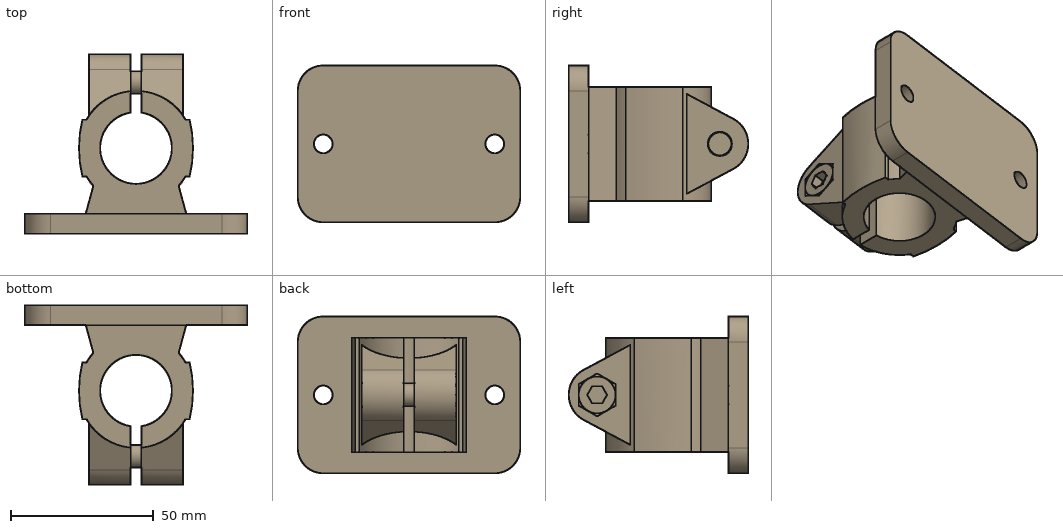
import cadquery as cq
import math

plate_width = 78.0
plate_height = 55.0
plate_thickness = 7.0
plate_corner_radius = 9.0
mount_hole_diameter = 6.5
mount_hole_spacing = 60.05

ring_center_y = 30.0
ring_diameter = 40.0
ring_height = ring_diameter
bore_diameter = 25.0
slot_width = 3.8

pad_width = 20.0
pad_edge_x = 18.8
pad_crown_x = ring_diameter / 2

neck_base_half_width = 17.6
neck_top_half_width = 15.0

total_depth = 62.95
ear_half_width = 16.5
ear_radius = 10.0
ear_flank_angle = math.radians(28)
screw_y = total_depth - ear_radius

pocket_corner_diameter = 15.0
head_diameter = 12.9
head_height = 8.0
shank_diameter = 8.0
clearance_diameter = 8.5
socket_corner_diameter = 6.95
socket_depth = 4.0


def make_plate():
    plate = (
        cq.Workplane("XY")
        .box(plate_width, plate_thickness, plate_height)
        .translate((0, plate_thickness / 2, 0))
        .edges("|Y")
        .fillet(plate_corner_radius)
    )
    return (
        plate.faces("<Y")
        .workplane(centerOption="CenterOfBoundBox")
        .pushPoints([(-mount_hole_spacing / 2, 0), (mount_hole_spacing / 2, 0)])
        .hole(mount_hole_diameter)
    )


def ring_plane():
    return cq.Workplane("XY", origin=(0, ring_center_y, -ring_height / 2))


def make_ring():
    ring = ring_plane().circle(ring_diameter / 2).extrude(ring_height)
    pads = (
        ring_plane()
        .moveTo(-pad_edge_x, -pad_width / 2)
        .lineTo(pad_edge_x, -pad_width / 2)
        .threePointArc((pad_crown_x, 0), (pad_edge_x, pad_width / 2))
        .lineTo(-pad_edge_x, pad_width / 2)
        .threePointArc((-pad_crown_x, 0), (-pad_edge_x, -pad_width / 2))
        .close()
        .extrude(ring_height)
    )
    return ring.union(pads)


def make_neck():
    neck_top_y = ring_center_y - math.sqrt((ring_diameter / 2) ** 2 - neck_top_half_width**2)
    return (
        cq.Workplane("XY", origin=(0, 0, -ring_height / 2))
        .polyline([
            (-neck_base_half_width, plate_thickness),
            (neck_base_half_width, plate_thickness),
            (neck_top_half_width, neck_top_y),
            (-neck_top_half_width, neck_top_y),
        ])
        .close()
        .extrude(ring_height)
    )


def make_ears():
    tangent_y = screw_y + ear_radius * math.sin(ear_flank_angle)
    tangent_z = ear_radius * math.cos(ear_flank_angle)
    root_y = ring_center_y + math.sqrt((ring_diameter / 2) ** 2 - ear_half_width**2)
    root_z = tangent_z + (tangent_y - root_y) * math.tan(ear_flank_angle)
    return (
        cq.Workplane("YZ", origin=(-ear_half_width, 0, 0))
        .moveTo(root_y, -root_z)
        .lineTo(tangent_y, -tangent_z)
        .threePointArc((total_depth, 0), (tangent_y, tangent_z))
        .lineTo(root_y, root_z)
        .close()
        .extrude(2 * ear_half_width)
    )


def make_clamp_cuts():
    bore = ring_plane().circle(bore_diameter / 2).extrude(ring_height)
    slot_length = total_depth - ring_center_y
    slot = (
        cq.Workplane("XY")
        .box(slot_width, slot_length, ring_height)
        .translate((0, ring_center_y + slot_length / 2, 0))
    )
    return bore.union(slot)


def screw_plane():
    return cq.Workplane("YZ", origin=(-ear_half_width, screw_y, 0))


def make_hexagon(corner_diameter, depth, first_corner_angle):
    corners = []
    for index in range(6):
        angle = math.radians(first_corner_angle + 60 * index)
        radius = corner_diameter / 2
        corners.append((radius * math.cos(angle), radius * math.sin(angle)))
    return screw_plane().polyline(corners).close().extrude(depth)


def make_screw_cuts():
    pocket = make_hexagon(pocket_corner_diameter, head_height, 90)
    return screw_plane().circle(clearance_diameter / 2).extrude(2 * ear_half_width).union(pocket)


def make_screw():
    head = screw_plane().circle(head_diameter / 2).extrude(head_height)
    shank = screw_plane().circle(shank_diameter / 2).extrude(2 * ear_half_width)
    socket = make_hexagon(socket_corner_diameter, socket_depth, 0)
    return head.union(shank).cut(socket)


clamp = make_ring().union(make_neck()).union(make_ears())
clamp = clamp.cut(make_clamp_cuts()).cut(make_screw_cuts())
result = make_plate().union(clamp).union(make_screw())